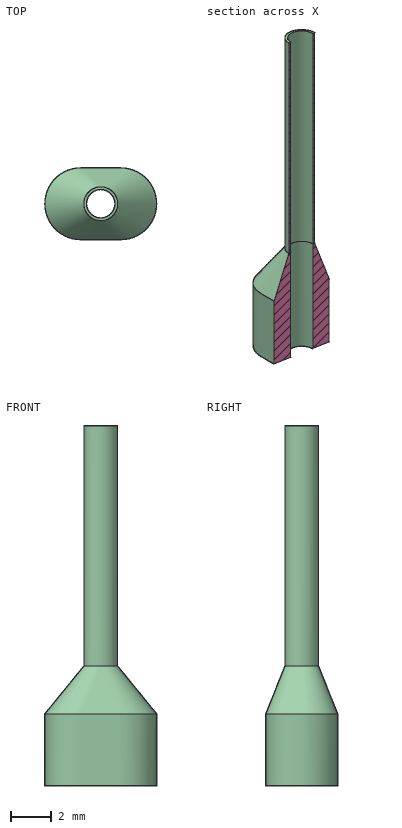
import cadquery as cq

total_height = 18.0
collar_length = 5.6
collar_width = 3.6
skirt_height = 3.6
collar_height = 6.0
tube_diameter = 1.7
bore_diameter = 1.4

tube_radius = tube_diameter / 2
end_radius = collar_width / 2
end_offset = (collar_length - collar_width) / 2
taper_height = collar_height - skirt_height


def make_half_taper(side):
    """Oblique half cone from one rounded collar end (side = -1 or +1) to the tube."""

    def half_disc(plane, center_x, radius):
        return (
            plane.moveTo(center_x, -radius)
            .threePointArc((center_x + side * radius, 0), (center_x, radius))
            .close()
        )

    base = half_disc(cq.Workplane("XY", origin=(0, 0, skirt_height)), side * end_offset, end_radius)
    return half_disc(base.workplane(offset=taper_height), 0, tube_radius).loft(ruled=True)


def make_center_wedge():
    """Wedge between the half cones, with a sloping triangular face on each long side."""
    triangle = (
        cq.Workplane("XZ")
        .polyline([(-end_offset, skirt_height), (end_offset, skirt_height), (0, collar_height)])
        .close()
        .extrude(end_radius, both=True)
    )
    trapezoid = (
        cq.Workplane("YZ")
        .polyline([
            (-end_radius, skirt_height),
            (end_radius, skirt_height),
            (tube_radius, collar_height),
            (-tube_radius, collar_height),
        ])
        .close()
        .extrude(end_offset, both=True)
    )
    return triangle.intersect(trapezoid)


def make_collar():
    """Oblong skirt tapering to the tube diameter, with a bore in line with the tube."""
    skirt = cq.Workplane("XY").slot2D(collar_length, collar_width).extrude(skirt_height)
    solid_collar = skirt.union(make_center_wedge())
    for side in (-1, 1):
        solid_collar = solid_collar.union(make_half_taper(side))
    bore = cq.Workplane("XY").circle(bore_diameter / 2).extrude(collar_height)
    return solid_collar.cut(bore)


def make_tube():
    """Thin-walled tube standing on the top of the collar."""
    return (
        cq.Workplane("XY", origin=(0, 0, collar_height))
        .circle(tube_radius)
        .circle(bore_diameter / 2)
        .extrude(total_height - collar_height)
    )


collar = make_collar()
tube = make_tube()

result = cq.Compound.makeCompound([collar.solids().val(), tube.val()])